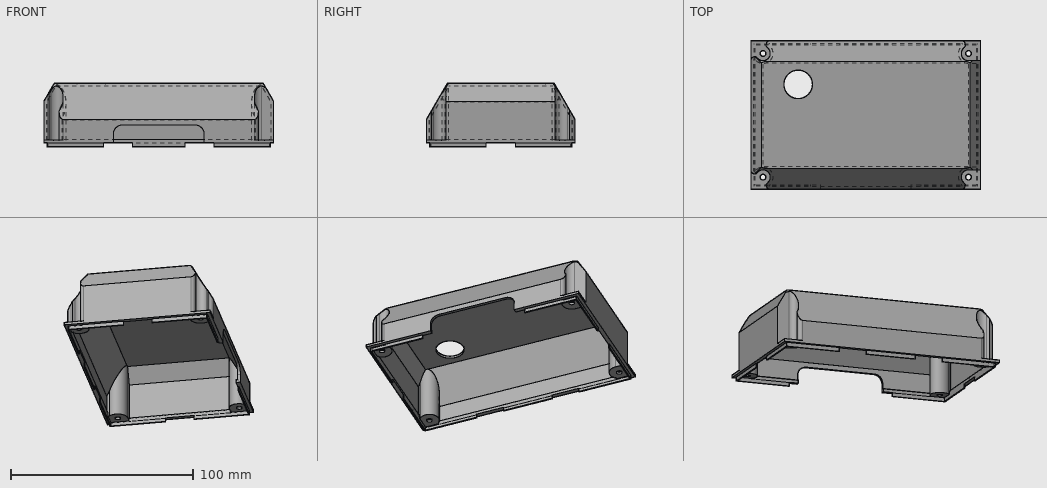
import cadquery as cq
import math

LENGTH = 126.2
WIDTH = 81.7
HEIGHT = 32.8
WALL = 1.5
SLOPE_ANGLE = 30.0
SIDE_EDGE_HEIGHT = 12.9
END_EDGE_HEIGHT = 22.8

FLANGE_THICKNESS = 1.5
SCREW_HOLE_DIAMETER = 3.0
RECESS_DIAMETER = 8.0
SCREW_INSET_X = 6.7
SCREW_INSET_FRONT = 6.7
SCREW_INSET_BACK = 7.1
NECK_OFFSET = 1.8
NECK_ROUND = 2.1

BEVEL_ALONG_X = 1.9
BEVEL_ALONG_Y = 0.6

PORT_DIAMETER = 15.5
PORT_X = -37.1
PORT_Y = 16.8

NOTCH_WIDTH = 49.8
NOTCH_HEIGHT = 9.8
NOTCH_RADIUS = 5.0

LEDGE_HEIGHT = 1.8
LEDGE_INSET = 2.4
TAB_INSET = 1.8
TAB_DEPTH = 2.1
CORNER_TAB_LENGTH = 31.0
BACK_TAB_LENGTH = 28.9

recess_radius = RECESS_DIAMETER / 2
half_length = LENGTH / 2
half_width = WIDTH / 2


def block(x0, x1, y0, y1, z0, z1):
    """Box between two opposite corners."""
    return cq.Workplane("XY").box(x1 - x0, y1 - y0, z1 - z0, centered=False).translate((x0, y0, z0))


def leaning_profile(plane, half_span, edge_height, top, depth):
    """Prism with upright sides that lean inward above edge_height."""
    lean = (top - edge_height) * math.tan(math.radians(SLOPE_ANGLE))
    outline = [
        (-half_span, 0), (half_span, 0), (half_span, edge_height),
        (half_span - lean, top), (-half_span + lean, top), (-half_span, edge_height),
    ]
    return cq.Workplane(plane).polyline(outline).close().extrude(depth, both=True)


def hull(inset):
    """Box with leaning upper walls, moved inward by inset on all but the bottom."""
    edge_drop = inset * math.tan(math.radians(SLOPE_ANGLE / 2))
    top = HEIGHT - inset
    end = half_length - inset
    side = half_width - inset
    along_x = leaning_profile("YZ", side, SIDE_EDGE_HEIGHT - edge_drop, top, end)
    along_y = leaning_profile("XZ", end, END_EDGE_HEIGHT - edge_drop, top, side)
    return along_x.intersect(along_y)


def recess(x_side, y_side, inset_y, grow):
    """Upright cutter for one corner, enlarged by grow for the inside of the wall."""
    margin = NECK_ROUND
    screw_x = x_side * (half_length - SCREW_INSET_X)
    screw_y = y_side * (half_width - inset_y)
    reach_x = SCREW_INSET_X + NECK_OFFSET + grow
    reach_y = inset_y + grow + (NECK_OFFSET if x_side < 0 else recess_radius)
    lip_radius = NECK_ROUND - grow
    bore_radius = recess_radius + grow

    def bar(x0, x1, y0, y1):
        """Upright block placed by distances inward from the two outside faces."""
        xs = sorted(x_side * (half_length - v) for v in (x0, x1))
        ys = sorted(y_side * (half_width - v) for v in (y0, y1))
        return block(*xs, *ys, 0, HEIGHT)

    def rounded_lip(edge_x, edge_y):
        """Material between a square corner and its quarter round."""
        square = bar(edge_x, edge_x + lip_radius, edge_y, edge_y + lip_radius)
        center = (
            x_side * (half_length - edge_x - lip_radius),
            y_side * (half_width - edge_y - lip_radius),
        )
        return square.cut(cq.Workplane("XY").center(*center).circle(lip_radius).extrude(HEIGHT))

    def wedge(*points):
        """Upright triangle with one corner on the screw axis."""
        outline = [(screw_x - x_side * u, screw_y - y_side * v) for u, v in ((0, 0), *points)]
        return cq.Workplane("XY").polyline(outline).close().extrude(HEIGHT)

    if x_side < 0:
        cutter = bar(-margin, reach_x, -margin, reach_y)
    else:
        cutter = bar(-margin, reach_x, -margin, inset_y).union(bar(-margin, SCREW_INSET_X, 0, reach_y))
    bore = cq.Workplane("XY").center(screw_x, screw_y).circle(bore_radius).extrude(HEIGHT)
    cutter = cutter.union(bore)

    neck = NECK_OFFSET + grow
    diagonal = bore_radius * math.sqrt(0.5)
    cutter = cutter.union(wedge((neck, -bore_radius), (diagonal, -diagonal)))
    if x_side < 0:
        cutter = cutter.union(wedge((-bore_radius, neck), (-diagonal, diagonal)))
    if lip_radius > 0:
        cutter = cutter.union(rounded_lip(reach_x, grow))
        if x_side < 0:
            cutter = cutter.union(rounded_lip(grow, reach_y))
    return cutter


def corner_bevel(x_side, y_side):
    """Oblique prism that bevels the sloping edge between a side slope and an end slope."""
    lean = math.tan(math.radians(SLOPE_ANGLE))
    roof_x = half_length - (HEIGHT - END_EDGE_HEIGHT) * lean
    roof_y = half_width - (HEIGHT - SIDE_EDGE_HEIGHT) * lean
    drop = HEIGHT - SIDE_EDGE_HEIGHT
    triangle = [
        cq.Vector(x_side * (roof_x - BEVEL_ALONG_X), y_side * roof_y, HEIGHT),
        cq.Vector(x_side * roof_x, y_side * (roof_y - BEVEL_ALONG_Y), HEIGHT),
        cq.Vector(x_side * (roof_x + BEVEL_ALONG_X), y_side * (roof_y + BEVEL_ALONG_Y), HEIGHT),
    ]
    down_edge = cq.Vector(x_side * drop * lean, y_side * drop * lean, -drop)
    outline = cq.Wire.makePolygon(triangle, close=True)
    return cq.Workplane(cq.Solid.extrudeLinear(outline, [], down_edge))


corners = [
    (x_side, y_side, inset_y)
    for x_side in (-1, 1)
    for y_side, inset_y in ((-1, SCREW_INSET_FRONT), (1, SCREW_INSET_BACK))
]

outside = hull(0)
inside = hull(WALL)
for corner in corners:
    outside = outside.cut(recess(*corner, 0)).cut(corner_bevel(*corner[:2]))
    inside = inside.cut(recess(*corner, WALL))
shell = outside.cut(inside)

rim = block(-half_length, half_length, -half_width, half_width, 0, LEDGE_HEIGHT)
ledge_x = half_length - LEDGE_INSET
ledge_y = half_width - LEDGE_INSET
opening = block(-ledge_x, ledge_x, -ledge_y, ledge_y, 0, LEDGE_HEIGHT)
ledge = rim.cut(opening).intersect(outside)
plate = block(-half_length, half_length, -half_width, half_width, 0, FLANGE_THICKNESS)
flanges = plate.cut(inside)
body = shell.union(ledge).union(flanges)

tab_x = half_length - TAB_INSET
tab_y = half_width - TAB_INSET
tab_ring = block(-tab_x, tab_x, -tab_y, tab_y, -TAB_DEPTH, 0)
tab_ring = tab_ring.cut(block(-ledge_x, ledge_x, -ledge_y, ledge_y, -TAB_DEPTH, 0))
for x_side in (-1, 1):
    for y_side in (-1, 1):
        xs = sorted((x_side * tab_x, x_side * (tab_x - CORNER_TAB_LENGTH)))
        ys = sorted((y_side * tab_y, y_side * (tab_y - CORNER_TAB_LENGTH)))
        body = body.union(tab_ring.intersect(block(*xs, *ys, -TAB_DEPTH, 0)))
back_tab_end = BACK_TAB_LENGTH / 2
body = body.union(block(-back_tab_end, back_tab_end, ledge_y, tab_y, -TAB_DEPTH, 0))

notch_side = NOTCH_WIDTH / 2
notch = block(-notch_side, notch_side, -half_width, -ledge_y, 0, NOTCH_HEIGHT)
notch = notch.edges("|Y and >Z").fillet(NOTCH_RADIUS)
body = body.cut(notch)

port = cq.Workplane("XY").center(PORT_X, PORT_Y).circle(PORT_DIAMETER / 2).extrude(HEIGHT)
body = body.cut(port)
for x_side, y_side, inset_y in corners:
    spot = (x_side * (half_length - SCREW_INSET_X), y_side * (half_width - inset_y))
    screw_hole = cq.Workplane("XY").center(*spot).circle(SCREW_HOLE_DIAMETER / 2).extrude(FLANGE_THICKNESS)
    body = body.cut(screw_hole)

result = body